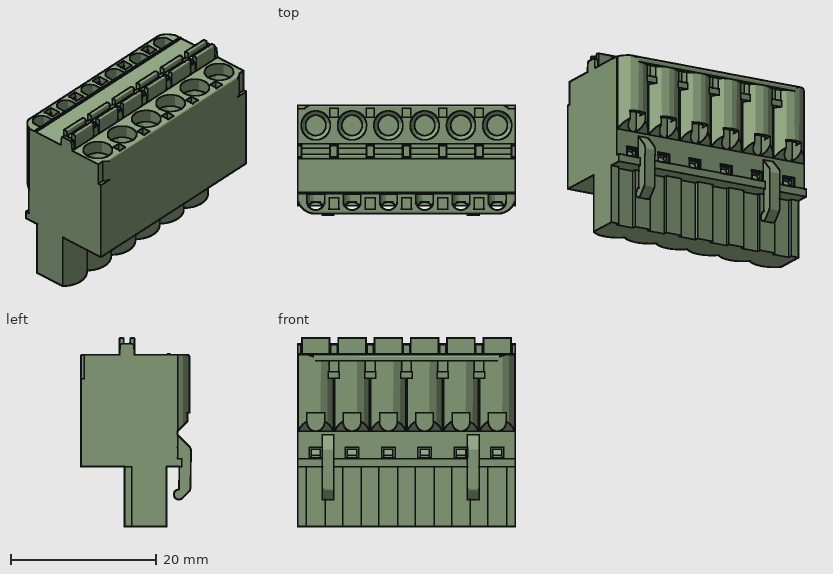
import cadquery as cq
import math


pole_count = 6
pitch = 5.0
row_length = pole_count * pitch
pole_xs = [(i - (pole_count - 1) / 2) * pitch for i in range(pole_count)]
gap_xs = [x + pitch / 2 for x in pole_xs[:-1]]

total_height = 26.0
housing_bottom = 8.25
housing_top = 23.7
back_y = 13.35
back_edge_fillet = 0.25
back_corner_width = 0.95
back_corner_reach = 2.3
back_corner_mid_reach = 1.4
back_corner_mid_depth = 0.13
back_corner_depth = 0.48
back_corner_floor = 20.4

lip_depth = 0.55
lip_top = 9.35

plug_front_y = 1.53
plug_back_y = 6.31
plug_groove_width = 2.6
plug_groove_depth = 0.6
plug_column_bulge = 1.05

column_bulge = 1.65
column_chord = 4.8
column_bottom = 13.15
column_radius = (column_bulge**2 + (column_chord / 2) ** 2) / (2 * column_bulge)
cap_bottom = 22.85
cap_fillet = 0.4

test_hole_width = 2.42
test_hole_back_y = 1.05
test_hole_front_y = -1.09
notch_top = 15.67

front_pocket_width = 1.35
front_pocket_back_y = 0.57
front_pocket_front_y = -0.98
front_pocket_floor = 21.35
pocket_block_bottom = 20.45
back_pocket_x_size = 1.13
back_pocket_y_size = 1.22
back_pocket_y = 12.28
back_pocket_depth = 2.0

wire_y = 10.55
wire_diameter = 4.0
wire_throat_diameter = 2.8
wire_straight_depth = 1.9
wire_cone_depth = 1.0

ridge_back_y = 1.35
ridge_width = 0.25
ridge_height = 0.1

lever_width = 3.85
lever_back_y = 8.05
lever_front_y = 5.93
lever_arm_tip = 0.62
lever_arm_root = 0.65
lever_tip_fillet = 0.2
rail_clearance = 0.1
rail_top = 25.2
rail_taper = 0.16
rail_chamfer = 0.16

window_width = 1.85
window_bottom = 9.5
window_top = 10.9
window_depth = 0.4
slot_width = 1.26
slot_top = 10.67
slot_step_depth = 0.3
slot_step_top = 9.8
slot_depth = 0.9

hook_width = 1.6
hook_xs = [-10.8, 9.2]
hook_front_y = -1.86
hook_top = 12.65
hook_shoulder_fillet = 1.0
hook_taper = 0.1
hook_inner_y = -0.2
hook_tip_y = -0.15
hook_tip_z = 4.42
hook_tip_radius = 0.7
hook_bend_fillet = 0.7


def box(x_size, y_min, y_max, z_min, z_max, x=0.0):
    """Block centred on x and spanning the given Y and Z ranges."""
    size_y = y_max - y_min
    return cq.Workplane("XY", origin=(x, (y_min + y_max) / 2, z_min)).box(
        x_size, size_y, z_max - z_min, centered=(True, True, False)
    )


def side_prism(points, width, x=0.0):
    """Closed (y, z) outline extruded along X, centred on x."""
    return cq.Workplane("YZ", origin=(x, 0, 0)).polyline(points).close().extrude(width / 2, both=True)


def column_front_y(offset):
    """Y of the front surface of a column at a sideways offset from its axis."""
    axis_y = column_radius - column_bulge
    return axis_y - math.sqrt(column_radius**2 - offset**2)


def make_housing():
    """Housing block with a lip and a ridge, its upper back corners cut away in a jog and an arc."""
    body = box(row_length, 0, back_y, housing_bottom, housing_top)
    body = body.faces(">Y").edges(">Z").fillet(back_edge_fillet)
    corner_x = row_length / 2
    jog_x = corner_x - back_corner_width
    jog_y = back_y - back_corner_depth
    for side in (-1, 1):
        corner = (
            cq.Workplane("XY", origin=(0, 0, back_corner_floor))
            .moveTo(side * corner_x, jog_y)
            .lineTo(side * jog_x, jog_y)
            .threePointArc(
                (side * (corner_x - back_corner_mid_reach), back_y - back_corner_mid_depth),
                (side * (corner_x - back_corner_reach), back_y),
            )
            .lineTo(side * (corner_x - back_corner_reach), back_y + back_corner_depth)
            .lineTo(side * corner_x, back_y + back_corner_depth)
            .close()
            .extrude(housing_top - back_corner_floor)
        )
        body = body.cut(corner)
    lip = box(row_length, -lip_depth, 0, housing_bottom, lip_top)
    ridge_front_y = ridge_back_y - ridge_width
    ridge = box(row_length, ridge_front_y, ridge_back_y, housing_top, housing_top + ridge_height)
    return body.union(lip).union(ridge)


def make_plug():
    """Plug with a shallow front groove and a rounded back column at every pole."""
    plug = box(row_length, plug_front_y, plug_back_y, 0, housing_bottom)
    for x in pole_xs:
        column = (
            cq.Workplane("XY")
            .moveTo(x - pitch / 2, plug_back_y)
            .threePointArc((x, plug_back_y + plug_column_bulge), (x + pitch / 2, plug_back_y))
            .close()
            .extrude(housing_bottom)
        )
        plug = plug.union(column)
    groove_back = plug_front_y + plug_groove_depth
    for x in pole_xs:
        plug = plug.cut(box(plug_groove_width, plug_front_y, groove_back, 0, housing_bottom, x))
    return plug


def make_column(x):
    """Round front column whose lower end is cut off at 45 degrees."""
    half = column_chord / 2
    column = (
        cq.Workplane("XY", origin=(0, 0, column_bottom))
        .moveTo(x - half, 0)
        .threePointArc((x, -column_bulge), (x + half, 0))
        .close()
        .extrude(cap_bottom - column_bottom)
    )
    undercut = [
        (0, column_bottom),
        (-column_bulge, column_bottom),
        (-column_bulge, column_bottom + column_bulge),
    ]
    return column.cut(side_prism(undercut, pitch, x))


def make_cap():
    """Plate over the columns, following the end columns at both ends, its top front edge rounded."""
    end_x = pole_xs[-1]
    half = column_chord / 2
    arc_offset = half * math.sin(math.radians(45))
    arc_mid = (end_x + arc_offset, column_front_y(arc_offset))
    cap = (
        cq.Workplane("XY", origin=(0, 0, cap_bottom))
        .moveTo(-end_x - half, 0)
        .threePointArc((-arc_mid[0], arc_mid[1]), (-end_x, -column_bulge))
        .lineTo(end_x, -column_bulge)
        .threePointArc(arc_mid, (end_x + half, 0))
        .close()
        .extrude(housing_top - cap_bottom)
    )
    rounding = box(row_length, -column_bulge, 0, cap_bottom, housing_top)
    return cap.intersect(rounding.faces("<Y").edges(">Z").fillet(cap_fillet))


def make_pocket_block(x):
    """Small block that fills the valley between two columns under a front pocket."""
    return box(pitch / 2, front_pocket_front_y, 0, pocket_block_bottom, front_pocket_floor, x)


def make_front_pocket(x):
    return box(
        front_pocket_width,
        front_pocket_front_y,
        front_pocket_back_y,
        front_pocket_floor,
        housing_top + ridge_height,
        x,
    )


def make_test_hole(x):
    """D-shaped hole from the top, with a round-bottomed notch leading out to the front."""
    radius = test_hole_width / 2
    axis_y = test_hole_front_y + radius
    notch_axis_z = column_bottom + radius
    height = housing_top - notch_axis_z
    hole = (
        cq.Workplane("XY", origin=(x, 0, notch_axis_z))
        .moveTo(-radius, test_hole_back_y)
        .lineTo(-radius, axis_y)
        .threePointArc((0, test_hole_front_y), (radius, axis_y))
        .lineTo(radius, test_hole_back_y)
        .close()
        .extrude(height)
    )
    notch = box(test_hole_width, -column_bulge, test_hole_back_y, notch_axis_z, notch_top, x)
    notch_length = test_hole_back_y + column_bulge
    notch_plane = cq.Workplane("XZ", origin=(x, test_hole_back_y, notch_axis_z))
    floor = notch_plane.circle(radius).extrude(notch_length)
    return hole.union(notch).union(floor)


def make_back_pocket(x):
    return box(
        back_pocket_x_size,
        back_pocket_y - back_pocket_y_size / 2,
        back_pocket_y + back_pocket_y_size / 2,
        housing_top - back_pocket_depth,
        housing_top,
        x,
    )


def make_wire_entry(x):
    """Straight bore that narrows to the throat in a cone."""
    cone_top = housing_top - wire_straight_depth
    bore_plane = cq.Workplane("XY", origin=(x, wire_y, cone_top))
    bore = bore_plane.circle(wire_diameter / 2).extrude(wire_straight_depth)
    cone = cq.Solid.makeCone(
        wire_diameter / 2,
        wire_throat_diameter / 2,
        wire_cone_depth,
        pnt=cq.Vector(x, wire_y, cone_top),
        dir=cq.Vector(0, 0, -1),
    )
    return bore.union(cq.Workplane(obj=cone))


def make_lever(x):
    """Block with two round-tipped arms along its front and back."""
    lever = box(lever_width, lever_front_y, lever_back_y, housing_top, rail_top, x)
    for outer_y, inward in ((lever_front_y, 1), (lever_back_y, -1)):
        outline = [
            (outer_y, rail_top),
            (outer_y, total_height),
            (outer_y + inward * lever_arm_tip, total_height),
            (outer_y + inward * lever_arm_root, rail_top),
        ]
        arm = side_prism(outline, lever_width, x)
        lever = lever.union(arm.faces(">Z").edges("|X").fillet(lever_tip_fillet))
    return lever


def make_rail():
    """Tapered rail, interrupted where the levers stand."""
    slope_top = rail_top - rail_chamfer
    front_top = lever_front_y + rail_taper
    back_top = lever_back_y - rail_taper
    outline = [
        (lever_front_y, housing_top),
        (front_top, slope_top),
        (front_top + rail_chamfer, rail_top),
        (back_top - rail_chamfer, rail_top),
        (back_top, slope_top),
        (lever_back_y, housing_top),
    ]
    rail = side_prism(outline, row_length)
    for x in pole_xs:
        opening = box(lever_width + 2 * rail_clearance, lever_front_y, lever_back_y, housing_top, rail_top, x)
        rail = rail.cut(opening)
    return rail


def make_window(x):
    """Shallow window with a narrower slot whose floor has a step and then rises inward."""
    window = box(window_width, 0, window_depth, window_bottom, window_top, x)
    step_y = window_depth + slot_step_depth
    slot = [
        (window_depth, window_bottom),
        (step_y, window_bottom),
        (step_y, slot_step_top),
        (window_depth + slot_depth, slot_top),
        (window_depth, slot_top),
    ]
    return window.union(side_prism(slot, slot_width, x))


def make_hook(x):
    """Latch hook hanging from the front panel, bent back at 45 degrees to a round tip."""
    shoulder = (hook_front_y, hook_top + hook_front_y)
    tangent_offset = hook_tip_radius * math.sin(math.radians(45))
    tangent = (hook_tip_y - tangent_offset, hook_tip_z - tangent_offset)
    bend_y = hook_front_y + hook_taper
    bend = (bend_y, tangent[1] + tangent[0] - bend_y)
    outline = [
        (0, hook_top),
        shoulder,
        bend,
        tangent,
        (hook_tip_y, hook_tip_z),
        (hook_inner_y, housing_bottom),
        (0, housing_bottom),
    ]
    hook = side_prism(outline, hook_width, x)
    for corner, radius in ((shoulder, hook_shoulder_fillet), (bend, hook_bend_fillet)):
        corner_edge = cq.selectors.NearestToPointSelector((x, *corner))
        hook = hook.edges(corner_edge).fillet(radius)
    tip = cq.Workplane("YZ", origin=(x, hook_tip_y, hook_tip_z)).circle(hook_tip_radius)
    return hook.union(tip.extrude(hook_width / 2, both=True))


result = make_housing().union(make_plug()).union(make_rail()).union(make_cap())
for pole_x in pole_xs:
    result = result.union(make_column(pole_x)).union(make_lever(pole_x))
for gap_x in gap_xs:
    result = result.union(make_pocket_block(gap_x))
for pole_x in pole_xs:
    result = result.cut(make_test_hole(pole_x)).cut(make_wire_entry(pole_x)).cut(make_window(pole_x))
for gap_x in gap_xs:
    result = result.cut(make_front_pocket(gap_x)).cut(make_back_pocket(gap_x))
for hook_x in hook_xs:
    result = result.union(make_hook(hook_x))